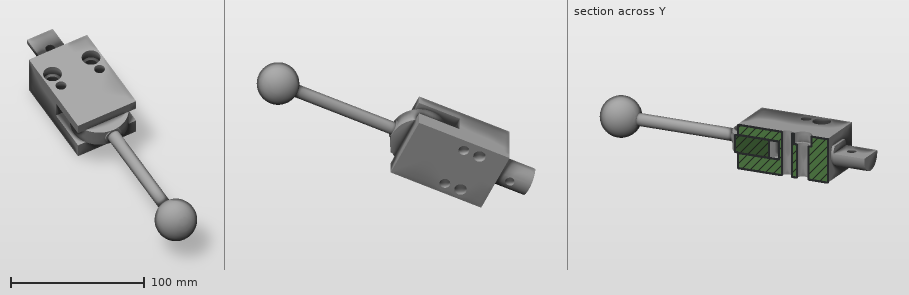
import cadquery as cq

housing_left = 27.8
housing_length = 75.0
housing_width = 50.0
housing_height = 35.0
housing_right = housing_left + housing_length

hole_offset_y = 16.5
screw_x = 48.8
screw_diameter = 9.5
counterbore_diameter = 14.0
counterbore_depth = 8.0
dowel_x = 61.8
dowel_diameter = 8.0

lever_z = 19.5
cam_radius = 22.0
cam_thickness = 14.0
cam_x = 91.0
boss_diameter = 13.7
rod_diameter = 9.9
ball_diameter = 32.0
total_length = 224.0
ball_x = total_length - ball_diameter / 2

slot_left = cam_x - cam_radius

plunger_z = 20.0
plunger_radius = 11.2
plunger_length = slot_left
plunger_top_z = 26.9
tip_top_z = 21.5
tip_length = 25.8
tip_hole_x = 16.0
tip_hole_diameter = 7.2


def box_from(left, length, width, bottom, height):
    """Box starting at X = left and Z = bottom, centred on Y = 0."""
    box = cq.Workplane("XY").box(length, width, height, centered=(False, True, False))
    return box.translate((left, 0, bottom))


def vertical_hole(x, y, diameter, bottom=0.0):
    """Cutter from Z = bottom up to the top of the housing."""
    cutter = cq.Workplane("XY").circle(diameter / 2).extrude(housing_height - bottom)
    return cutter.translate((x, y, bottom))


def bar_along_x(left, length, radius, z):
    """Round bar parallel to X on the plane Y = 0."""
    return cq.Workplane("YZ").circle(radius).extrude(length).translate((left, 0, z))


def plunger_bar():
    """Flat-topped round bar, which also shapes the housing bore."""
    bar = bar_along_x(0, plunger_length, plunger_radius, plunger_z)
    envelope = box_from(0, plunger_length, 2 * plunger_radius, 0, plunger_top_z)
    return bar.intersect(envelope)


def make_housing():
    block = box_from(housing_left, housing_length, housing_width, 0, housing_height)
    slot_bottom = lever_z - cam_thickness / 2
    slot_length = housing_right - slot_left
    block = block.cut(box_from(slot_left, slot_length, housing_width, slot_bottom, cam_thickness))
    block = block.cut(plunger_bar())
    for y in (-hole_offset_y, hole_offset_y):
        block = block.cut(vertical_hole(screw_x, y, screw_diameter))
        counterbore_bottom = housing_height - counterbore_depth
        block = block.cut(vertical_hole(screw_x, y, counterbore_diameter, counterbore_bottom))
        block = block.cut(vertical_hole(dowel_x, y, dowel_diameter))
    return block


def make_plunger():
    tip_relief = box_from(0, tip_length, 2 * plunger_radius, tip_top_z, plunger_top_z - tip_top_z)
    plunger = plunger_bar().cut(tip_relief)
    return plunger.cut(vertical_hole(tip_hole_x, 0, tip_hole_diameter))


def make_lever():
    cam = cq.Workplane("XY").circle(cam_radius).extrude(cam_thickness)
    cam = cam.translate((cam_x, 0, lever_z - cam_thickness / 2))
    boss_length = cam_x + cam_radius - housing_right
    boss = bar_along_x(housing_right, boss_length, boss_diameter / 2, lever_z)
    rod = bar_along_x(cam_x, ball_x - cam_x, rod_diameter / 2, lever_z)
    ball = cq.Workplane("XY").sphere(ball_diameter / 2).translate((ball_x, 0, lever_z))
    return cam.union(boss).union(rod).union(ball)


housing = make_housing()
plunger = make_plunger()
lever = make_lever()

result = cq.Compound.makeCompound([housing.val(), plunger.val(), lever.val()])